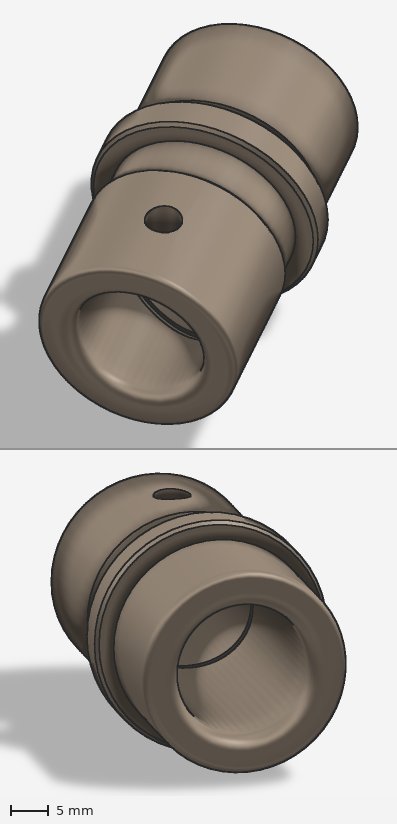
import cadquery as cq

length = 50.0
body_radius = 14.0
neck_radius = 13.0
end_round = 1.0

flange_radius = 16.0
flange_start = 27.0
flange_width = 5.0
flange_chamfer = 0.5
flange_end = flange_start + flange_width

front_neck_start = 21.0
rear_neck_end = 33.0
shoulder = body_radius - neck_radius

bore_radius = 9.0
bore_round = 2.0

hole_diameter = 5.0
hole_position = 11.0

groove_position = 14.4
groove_width = 1.0
groove_depth = 0.65
groove_tilt = 25.0


def cylinder(radius, start, end):
    """Solid cylinder on the Y axis between two axial positions."""
    front_plane = cq.Workplane("XZ", origin=(0, start - length / 2, 0))
    return front_plane.circle(radius).extrude(start - end)


def make_body():
    """Two rounded barrels joined by a neck that carries the flange."""
    front = cylinder(body_radius, 0, front_neck_start)
    front = front.faces("<Y").edges().fillet(end_round)
    front = front.faces(">Y").edges().chamfer(shoulder)
    rear = cylinder(body_radius, rear_neck_end, length)
    rear = rear.faces(">Y").edges().fillet(end_round)
    rear = rear.faces("<Y").edges().chamfer(shoulder)
    neck = cylinder(neck_radius, front_neck_start, rear_neck_end)
    flange = cylinder(flange_radius, flange_start, flange_end)
    flange = flange.edges().chamfer(flange_chamfer)
    return front.union(neck).union(flange).union(rear)


def cut_bore(body):
    """Through bore with a rounded mouth at each end."""
    bored = body.cut(cylinder(bore_radius, 0, length))
    bore_rims = bored.faces("<Y or >Y").edges(cq.selectors.RadiusNthSelector(0))
    return bore_rims.fillet(bore_round)


def cut_radial_hole(body):
    """Hole through the top wall only, from the bore outward."""
    center_plane = cq.Workplane("XY", origin=(0, hole_position - length / 2, 0))
    hole = center_plane.circle(hole_diameter / 2).extrude(flange_radius)
    return body.cut(hole)


def cut_oil_groove(body):
    """Shallow groove where a tilted slab passes through the bore wall."""
    slab_size = 2 * flange_radius
    slab = cq.Workplane("XY").box(slab_size, groove_width, slab_size)
    slab = slab.rotate((0, 0, 0), (0, 0, 1), -groove_tilt)
    slab = slab.translate((0, groove_position - length / 2, 0))
    groove = slab.intersect(cylinder(bore_radius + groove_depth, 0, length))
    return body.cut(groove)


result = cut_oil_groove(cut_radial_hole(cut_bore(make_body())))